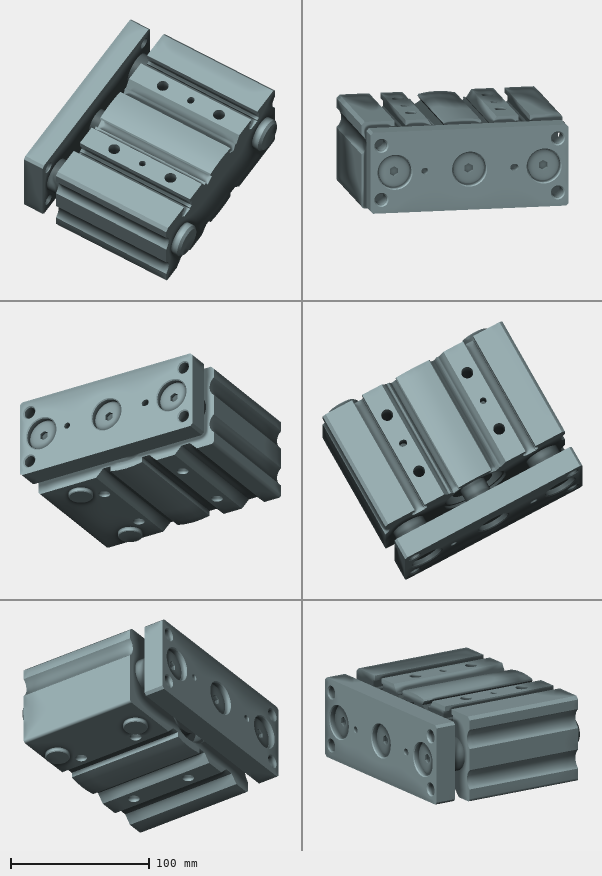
import cadquery as cq
import math

plate_thickness = 16.0
stroke_gap = 12.0
housing_length = 94.0
guide_overhang = 7.1
housing_front = plate_thickness + stroke_gap

housing_half_width = 74.0
housing_half_height = 32.0
top_corner_chamfer = 2.4
bottom_corner_radius = 2.2

plate_width = 146.0
plate_height = 60.0
plate_chamfer = 1.9
corner_hole_y = 65.0
corner_hole_z = 20.0
corner_hole_diameter = 8.6
corner_hole_chamfer = 0.9
recess_diameter = 24.4
recess_chamfer = 0.7
recess_depth = 4.0
screw_head_diameter = 22.5
head_gap_depth = 0.7
hex_across_flats = 6.2
hex_depth = 3.0

dowel_y = 33.0
dowel_diameter = 4.9
dowel_slot_length = 5.9
dowel_depth = 10.0

rod_pitch = 54.9
guide_diameter = 25.0
guide_chamfer = 1.9
piston_rod_diameter = 20.0
piston_rod_insertion = 29.6
collar_diameter = 46.8
collar_base_length = 8.9
collar_setback = 10.0
collar_nose_diameter = 32.5
collar_nose_length = 6.0
collar_fillet = 1.8
collar_rim_width = 2.0
collar_rim_depth = 2.0

mount_hole_diameter = 8.6
mount_hole_spacing = 48.0
mount_hole_offset = 24.0
port_y = 46.9
port_front_offset = 14.2
port_spacing = 68.8
port_diameter = 17.9
port_height = 3.1
port_chamfer = 0.6

t_slot_y = 45.7
t_slot_opening = 8.3
t_slot_lip = 3.8
t_slot_width = 12.5
t_slot_depth = 10.7
t_slot_chamfer = 1.0
t_slot_groove_width = 8.6
t_slot_groove_depth = 1.3

land_inner_y = 25.5
sensor_lip_outer = (21.5, 25.8)
sensor_lip_inner = (20.0, 26.8)
sensor_neck = (19.1, 25.5)
sensor_undercut = (19.7, 25.0)
sensor_floor_outer = (17.5, 21.8)
sensor_floor_inner = (12.0, 25.5)
hump_lip = (14.2, 28.9)
hump_edge = (13.5, 30.0)
hump_top_z = 31.5

bottom_relief_depth = 5.9
bottom_relief_outer_y = 59.6
bottom_relief_inner_y = 40.8

flute_z = 15.2
flute_chord = 14.5
flute_sagitta = 3.5


def along_x(diameter, start, length, y=0.0):
    """Cylinder parallel to X, on the rod plane."""
    disc = cq.Workplane("YZ", origin=(start, y, 0)).circle(diameter / 2)
    return disc.extrude(length)


def mirror_y(points):
    return [(-y, z) for y, z in reversed(points)]


def extrude_profile(sketch):
    """Extrude a closed YZ sketch over the whole housing length."""
    return sketch.extrude(housing_length)


def housing_plane():
    return cq.Workplane("YZ", origin=(housing_front, 0, 0))


def housing_block():
    block = cq.Workplane("XY").box(housing_length, 2 * housing_half_width, 2 * housing_half_height)
    block = block.translate((housing_front + housing_length / 2, 0, 0))
    block = block.edges("|X and >Z").chamfer(top_corner_chamfer)
    return block.edges("|X and <Z").fillet(bottom_corner_radius)


def hump_relief(side, arc_top_z):
    """Cut bounded by the +Y points, the arc over the hump and the mirrored -Y points."""
    far_side = mirror_y(side)
    sketch = housing_plane().polyline(side)
    sketch = sketch.threePointArc((0, arc_top_z), far_side[0])
    for point in far_side[1:]:
        sketch = sketch.lineTo(*point)
    return extrude_profile(sketch.close())


def top_centre_cut():
    """Space above the hump, with an inclined sensor slot on each side."""
    side = [
        (land_inner_y, housing_half_height),
        sensor_lip_outer,
        sensor_lip_inner,
        sensor_neck,
        sensor_undercut,
        sensor_floor_outer,
        sensor_floor_inner,
        hump_lip,
        hump_edge,
    ]
    return hump_relief(side, hump_top_z)


def t_slot_cut(y):
    half_opening = t_slot_opening / 2
    half_width = t_slot_width / 2
    half_floor = half_width - t_slot_chamfer
    half_groove = t_slot_groove_width / 2
    lip_z = housing_half_height - t_slot_lip
    floor_z = housing_half_height - t_slot_depth
    side = [
        (half_opening, housing_half_height),
        (half_opening, lip_z),
        (half_width, lip_z),
        (half_width, floor_z + t_slot_chamfer),
        (half_floor, floor_z),
        (half_groove, floor_z),
        (half_groove, floor_z - t_slot_groove_depth),
    ]
    outline = [(y + dy, z) for dy, z in side + mirror_y(side)]
    return extrude_profile(housing_plane().polyline(outline).close())


def bottom_centre_cut():
    """Space below the hump, bounded by sloping land edges."""
    low = -housing_half_height
    high = low + bottom_relief_depth
    edge_y, edge_z = hump_edge
    side = [
        (land_inner_y, low),
        (land_inner_y - bottom_relief_depth, high),
        (edge_y, high),
        (edge_y, -edge_z),
    ]
    return hump_relief(side, -hump_top_z)


def bottom_relief_cut():
    """Trapezoidal groove under the -Y guide rod."""
    low = -housing_half_height
    high = low + bottom_relief_depth
    outline = [
        (-bottom_relief_outer_y, low),
        (-bottom_relief_outer_y + bottom_relief_depth, high),
        (-bottom_relief_inner_y - bottom_relief_depth, high),
        (-bottom_relief_inner_y, low),
    ]
    return extrude_profile(housing_plane().polyline(outline).close())


def flute_cut(side, z):
    """Shallow round flute in the side face; side is +1 or -1."""
    radius = ((flute_chord / 2) ** 2 + flute_sagitta**2) / (2 * flute_sagitta)
    centre_y = side * (housing_half_width + radius - flute_sagitta)
    return extrude_profile(housing_plane().center(centre_y, z).circle(radius))


def mounting_holes():
    """Through holes in the lands, with a blind locating hole and slot between them."""
    first_x = housing_front + mount_hole_offset
    points = [(first_x + i * mount_hole_spacing, s * dowel_y) for i in (0, 1) for s in (-1, 1)]
    top = cq.Workplane("XY", origin=(0, 0, housing_half_height))
    holes = top.pushPoints(points).circle(mount_hole_diameter / 2).extrude(-2 * housing_half_height)
    dowel_x = first_x + mount_hole_spacing / 2
    hole = top.center(dowel_x, -dowel_y).circle(dowel_diameter / 2).extrude(-dowel_depth)
    slot = top.center(dowel_x, dowel_y).slot2D(dowel_slot_length, dowel_diameter, 90).extrude(-dowel_depth)
    return holes.union(hole).union(slot)


def port_bosses():
    first_x = housing_front + port_front_offset
    points = [(first_x, port_y), (first_x + port_spacing, port_y)]
    bosses = cq.Workplane("XY", origin=(0, 0, -housing_half_height)).pushPoints(points)
    bosses = bosses.circle(port_diameter / 2).extrude(-port_height)
    return bosses.faces("<Z").edges().chamfer(port_chamfer)


def collar_bore():
    """Bore that seats the collar, with a shallow wider step at its mouth."""
    bore = along_x(collar_diameter, housing_front, collar_setback + collar_base_length)
    rim_diameter = collar_diameter + 2 * collar_rim_width
    return bore.union(along_x(rim_diameter, housing_front, collar_rim_depth))


def make_housing():
    housing = housing_block()
    housing = housing.cut(top_centre_cut()).cut(bottom_centre_cut()).cut(bottom_relief_cut())
    for side in (-1, 1):
        housing = housing.cut(t_slot_cut(side * t_slot_y))
        housing = housing.cut(along_x(guide_diameter, housing_front, housing_length, side * rod_pitch))
    for side, z in ((-1, flute_z), (-1, -flute_z), (1, flute_z)):
        housing = housing.cut(flute_cut(side, z))
    housing = housing.cut(mounting_holes())
    housing = housing.cut(collar_bore())
    housing = housing.cut(along_x(piston_rod_diameter, housing_front, piston_rod_insertion))
    return housing.union(port_bosses())


def chamfered_bores(points, diameter, depth, chamfer):
    """Bores into the front face of the plate, each with a countersunk rim."""
    bores = cq.Workplane("YZ").pushPoints(points).circle(diameter / 2).extrude(depth)
    rim_diameter = diameter + 2 * chamfer
    rims = cq.Workplane("YZ").pushPoints(points).circle(rim_diameter / 2).extrude(chamfer, taper=45)
    return bores.union(rims)


def hex_socket(y, diameter):
    """Hexagon socket below a recess, with a corner pointing up."""
    socket = cq.Workplane("YZ", origin=(recess_depth, 0, 0)).polygon(6, diameter).extrude(hex_depth)
    return socket.rotate((0, 0, 0), (1, 0, 0), 90).translate((0, y, 0))


def make_plate():
    plate = cq.Workplane("XY").box(plate_thickness, plate_width, plate_height)
    plate = plate.translate((plate_thickness / 2, 0, 0)).edges("|X").chamfer(plate_chamfer)
    face = cq.Workplane("YZ")

    corners = [(sy * corner_hole_y, sz * corner_hole_z) for sy in (-1, 1) for sz in (-1, 1)]
    plate = plate.cut(chamfered_bores(corners, corner_hole_diameter, plate_thickness, corner_hole_chamfer))

    recesses = [(y, 0) for y in (-rod_pitch, 0, rod_pitch)]
    plate = plate.cut(chamfered_bores(recesses, recess_diameter, recess_depth, recess_chamfer))
    gaps = face.workplane(offset=recess_depth).pushPoints(recesses)
    gaps = gaps.circle(recess_diameter / 2).circle(screw_head_diameter / 2).extrude(head_gap_depth)
    plate = plate.cut(gaps)
    hex_diameter = hex_across_flats / math.cos(math.pi / 6)
    for y, _ in recesses:
        plate = plate.cut(hex_socket(y, hex_diameter))

    plate = plate.cut(face.center(dowel_y, 0).circle(dowel_diameter / 2).extrude(dowel_depth))
    return plate.cut(face.center(-dowel_y, 0).slot2D(dowel_slot_length, dowel_diameter).extrude(dowel_depth))


def make_guide_rod(y):
    length = stroke_gap + housing_length + guide_overhang
    rod = along_x(guide_diameter, plate_thickness, length, y)
    return rod.faces(">X").edges().chamfer(guide_chamfer)


def make_piston_rod():
    return along_x(piston_rod_diameter, plate_thickness, stroke_gap + piston_rod_insertion)


def make_collar():
    """Flanged ring around the piston rod, its nose pointing at the plate."""
    start = housing_front + collar_setback
    nose_start = start - collar_nose_length
    collar = along_x(collar_diameter, start, collar_base_length)
    collar = collar.union(along_x(collar_nose_diameter, nose_start, collar_nose_length))
    nose_foot = cq.selectors.RadiusNthSelector(0)
    collar = collar.faces("<X[1]").edges(nose_foot).fillet(collar_fillet)
    return collar.cut(along_x(piston_rod_diameter, nose_start, collar_nose_length + collar_base_length))


housing = make_housing()
plate = make_plate()
piston_rod = make_piston_rod()
collar = make_collar()
guide_rods = [make_guide_rod(side * rod_pitch) for side in (-1, 1)]

result = cq.Compound.makeCompound(
    [housing.val(), plate.val(), piston_rod.val(), collar.val(), *[rod.val() for rod in guide_rods]]
)